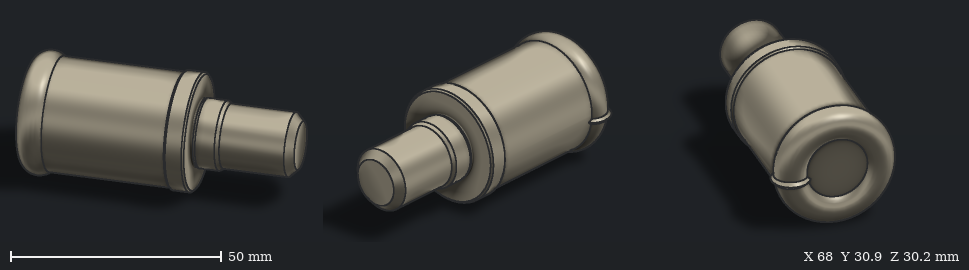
import cadquery as cq
import math


stud_length = 25.0
stud_diameter = 15.75
stud_end_chamfer = 2.0
collar_diameter = 17.0
collar_start = 1.2
collar_end = 6.0
collar_taper_end = 7.0
neck_diameter = 16.6
neck_length = 0.6
neck_fillet = 0.2

flange_diameter = 29.0
flange_thickness = 5.0
flange_chamfer = 0.5
body_diameter = 28.0

rim_outer_diameter = 30.21
rim_center_radius = 11.0
rim_center_x = -38.0
recess_diameter = 15.2

part_length = 68.0
part_width = 30.94
fin_radius = 4.85
fin_z = -1.85
fin_edge_angle = 90.0

rim_radius = rim_outer_diameter / 2 - rim_center_radius
fin_center_x = stud_length - part_length + fin_radius
fin_center_y = part_width - rim_outer_diameter / 2 - fin_radius


def rim_offset(radius):
    """Axial distance from the rim centre to its surface at a radius from the part axis."""
    return math.sqrt(rim_radius**2 - (radius - rim_center_radius) ** 2)


def make_turned_body():
    """Revolve the half profile of the recess, rim, body, flange and stud."""
    recess_radius = recess_diameter / 2
    body_radius = body_diameter / 2
    flange_radius = flange_diameter / 2
    neck_radius = neck_diameter / 2
    collar_radius = collar_diameter / 2
    stud_radius = stud_diameter / 2
    floor_x = rim_center_x - rim_offset(recess_radius)
    body_start = rim_center_x + rim_offset(body_radius)
    profile = (
        cq.Workplane("XY")
        .moveTo(floor_x, 0)
        .lineTo(floor_x, recess_radius)
        .threePointArc(
            (rim_center_x, rim_center_radius + rim_radius),
            (body_start, body_radius),
        )
        .lineTo(-flange_thickness, body_radius)
        .lineTo(-flange_thickness + flange_chamfer, flange_radius)
        .lineTo(-flange_chamfer, flange_radius)
        .lineTo(0, flange_radius - flange_chamfer)
        .lineTo(0, neck_radius + neck_fillet)
        .radiusArc((neck_fillet, neck_radius), -neck_fillet)
        .lineTo(neck_length, neck_radius)
        .lineTo(collar_start, collar_radius)
        .lineTo(collar_end, collar_radius)
        .lineTo(collar_taper_end, stud_radius)
        .lineTo(stud_length - stud_end_chamfer, stud_radius)
        .lineTo(stud_length, stud_radius - stud_end_chamfer)
        .lineTo(stud_length, 0)
        .close()
    )
    return profile.revolve(360, (0, 0, 0), (1, 0, 0))


def make_fin():
    """Double cone with a sharp edge, lying flat across the tube of the rim."""
    half_thickness = fin_radius / math.tan(math.radians(fin_edge_angle / 2))
    section = (
        cq.Workplane("XZ")
        .moveTo(0, -half_thickness)
        .lineTo(fin_radius, 0)
        .lineTo(0, half_thickness)
        .close()
    )
    fin_center = (fin_center_x, fin_center_y, fin_z)
    return section.revolve(360, (0, 0, 0), (0, 1, 0)).translate(fin_center)


result = make_turned_body().union(make_fin())